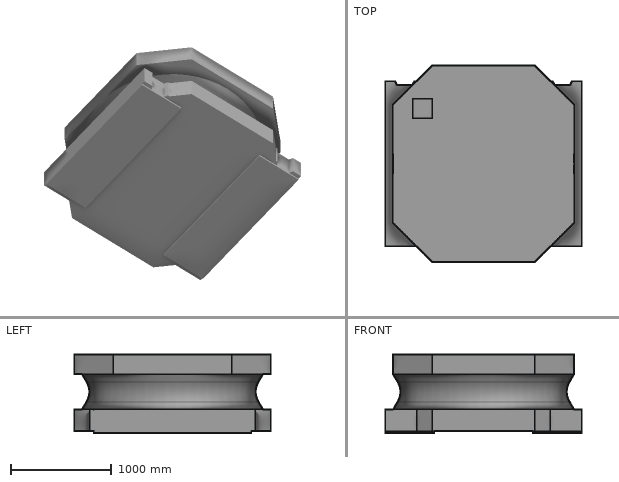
import cadquery as cq
import math

MODULE = 393.7

FLANGE_X = 4.6 * MODULE
FLANGE_Y = 5.0 * MODULE
FLANGE_CHAMFER = 1.0 * MODULE
FLANGE_THICKNESS = 0.5 * MODULE

BASE_X = 5.0 * MODULE
BASE_Y = 4.2 * MODULE
BASE_THICKNESS = 0.55 * MODULE

PAD_X = 1.25 * MODULE
PAD_Y = 4.0 * MODULE
PAD_THICKNESS = 0.05 * MODULE

NOTCH_CENTER_X = 2.0 * MODULE
NOTCH_MOUTH = 0.5 * MODULE
NOTCH_DEPTH = (BASE_Y - PAD_Y) / 2
NOTCH_SIDE_ANGLE = math.radians(60)

CORE_HEIGHT = 0.9 * MODULE
CORE_END_RADIUS = FLANGE_X / 2
CORE_SLOPE = math.radians(30)
WAIST_ARC_RADIUS = 0.5 * MODULE

MARK_SIDE = 0.5 * MODULE
MARK_X = -1.55 * MODULE
MARK_Y = 1.4 * MODULE
MARK_DEPTH = 0.01 * MODULE

TOTAL_HEIGHT = PAD_THICKNESS + BASE_THICKNESS + CORE_HEIGHT + FLANGE_THICKNESS
PAD_BOTTOM = -TOTAL_HEIGHT / 2
BASE_BOTTOM = PAD_BOTTOM + PAD_THICKNESS
CORE_BOTTOM = BASE_BOTTOM + BASE_THICKNESS
FLANGE_BOTTOM = CORE_BOTTOM + CORE_HEIGHT
FLANGE_TOP = FLANGE_BOTTOM + FLANGE_THICKNESS


def block(size_x, size_y, bottom, height):
    """Box centred on the Z axis, standing on the given height."""
    return cq.Workplane("XY", origin=(0, 0, bottom)).rect(size_x, size_y).extrude(height)


def octagon(bottom, height):
    """Flange-shaped slab with chamfered vertical corners."""
    return block(FLANGE_X, FLANGE_Y, bottom, height).edges("|Z").chamfer(FLANGE_CHAMFER)


def notch(center_x):
    """Trapezoidal cutter that narrows inward from the +Y edge of the base."""
    edge_y = BASE_Y / 2
    floor_y = edge_y - NOTCH_DEPTH
    half_mouth = NOTCH_MOUTH / 2
    half_floor = half_mouth - NOTCH_DEPTH / math.tan(NOTCH_SIDE_ANGLE)
    return (
        cq.Workplane("XY", origin=(center_x, 0, BASE_BOTTOM))
        .moveTo(-half_mouth, edge_y)
        .lineTo(-half_floor, floor_y)
        .lineTo(half_floor, floor_y)
        .lineTo(half_mouth, edge_y)
        .close()
        .extrude(BASE_THICKNESS)
    )


def make_base():
    """Base slab with its two wire notches and two terminal pads."""
    base = octagon(BASE_BOTTOM, BASE_THICKNESS)
    base = base.union(block(BASE_X, BASE_Y, BASE_BOTTOM, BASE_THICKNESS))
    for side in (-1, 1):
        base = base.cut(notch(side * NOTCH_CENTER_X))
        pad = block(PAD_X, PAD_Y, PAD_BOTTOM, PAD_THICKNESS)
        base = base.union(pad.translate((side * (BASE_X - PAD_X) / 2, 0, 0)))
    return base


def make_core():
    """Revolved core whose waist is a concave arc between two cones."""
    middle = CORE_BOTTOM + CORE_HEIGHT / 2
    arc_half_height = WAIST_ARC_RADIUS * math.sin(CORE_SLOPE)
    cone_height = CORE_HEIGHT / 2 - arc_half_height
    tangent_radius = CORE_END_RADIUS - cone_height * math.tan(CORE_SLOPE)
    waist_radius = tangent_radius - WAIST_ARC_RADIUS * (1 - math.cos(CORE_SLOPE))
    return (
        cq.Workplane("XZ")
        .moveTo(0, CORE_BOTTOM)
        .lineTo(CORE_END_RADIUS, CORE_BOTTOM)
        .lineTo(tangent_radius, middle - arc_half_height)
        .threePointArc((waist_radius, middle), (tangent_radius, middle + arc_half_height))
        .lineTo(CORE_END_RADIUS, FLANGE_BOTTOM)
        .lineTo(0, FLANGE_BOTTOM)
        .close()
        .revolve(360, (0, 0, 0), (0, 1, 0))
    )


def make_flange():
    """Top flange with the shallow square polarity mark."""
    mark = block(MARK_SIDE, MARK_SIDE, FLANGE_TOP - MARK_DEPTH, MARK_DEPTH)
    flange = octagon(FLANGE_BOTTOM, FLANGE_THICKNESS)
    return flange.cut(mark.translate((MARK_X, MARK_Y, 0)))


result = make_base().union(make_core()).union(make_flange())